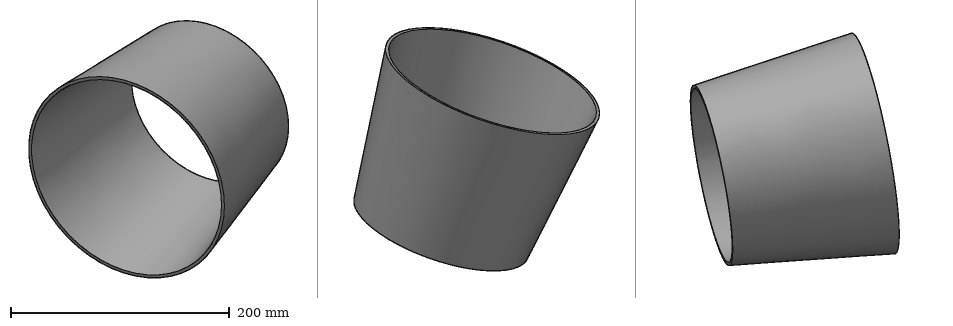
import cadquery as cq

large_diameter = 206.0
small_diameter = 168.3
length = 152.0
wall = 3.0

large_radius = large_diameter / 2
small_radius = small_diameter / 2

wall_section = (
    cq.Workplane("XY")
    .moveTo(large_radius - wall, -length / 2)
    .lineTo(large_radius, -length / 2)
    .lineTo(small_radius, length / 2)
    .lineTo(small_radius - wall, length / 2)
    .close()
)

result = wall_section.revolve(360, (0, 0, 0), (0, 1, 0))